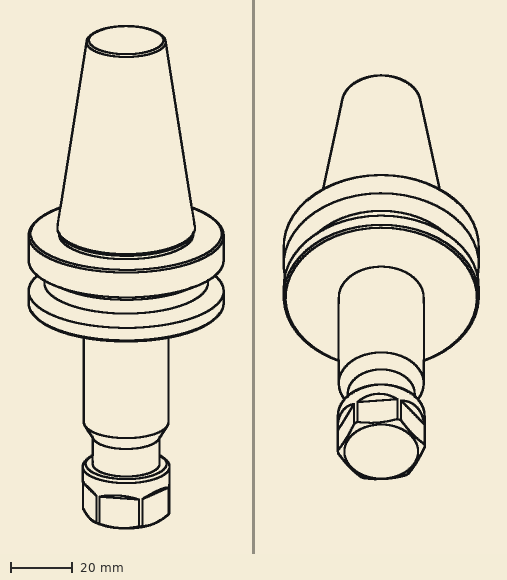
import cadquery as cq
import math

flange_radius = 63.0 / 2
flange_bottom = 73.0
flange_height = 25.0
flange_top = flange_bottom + flange_height
rim_chamfer = 0.7
groove_radius = 53.0 / 2
groove_floor_bottom = flange_bottom + 8.0
groove_floor_height = 4.8
groove_floor_top = groove_floor_bottom + groove_floor_height
groove_wall_angle = math.radians(30)
groove_wall_height = (flange_radius - groove_radius) * math.tan(groove_wall_angle)

overall_height = 165.4
taper_bottom = flange_top + 2.0
taper_large_radius = 44.5 / 2
taper_rate = 7 / 24
taper_small_radius = taper_large_radius - (overall_height - taper_bottom) * taper_rate / 2
taper_end_chamfer = 0.7
relief_radius = taper_large_radius - 0.5
relief_top = taper_bottom - 0.8

shank_radius = 27.5 / 2
shank_bottom = 32.3
neck_radius = 21.7 / 2
neck_top = 27.3

nut_radius = 28.1 / 2
nut_height = 17.7
nut_top_chamfer = 1.0
nut_bottom_radius = 11.9
nut_bottom_chamfer_height = 1.3
flat_distance = 25.0 / 2
flat_top = 10.8
flat_count = 6


def make_turned_body():
    """Revolve the half profile of nut, neck, shank, flange and taper."""
    profile = [
        (0, 0),
        (nut_bottom_radius, 0),
        (nut_radius, nut_bottom_chamfer_height),
        (nut_radius, nut_height - nut_top_chamfer),
        (nut_radius - nut_top_chamfer, nut_height),
        (neck_radius, nut_height),
        (neck_radius, neck_top),
        (shank_radius, shank_bottom),
        (shank_radius, flange_bottom),
        (flange_radius - rim_chamfer, flange_bottom),
        (flange_radius, flange_bottom + rim_chamfer),
        (flange_radius, groove_floor_bottom - groove_wall_height),
        (groove_radius, groove_floor_bottom),
        (groove_radius, groove_floor_top),
        (flange_radius, groove_floor_top + groove_wall_height),
        (flange_radius, flange_top - rim_chamfer),
        (flange_radius - rim_chamfer, flange_top),
        (relief_radius, flange_top),
        (relief_radius, relief_top),
        (taper_large_radius, taper_bottom),
        (taper_small_radius + taper_end_chamfer * taper_rate / 2, overall_height - taper_end_chamfer),
        (taper_small_radius - taper_end_chamfer, overall_height),
        (0, overall_height),
    ]
    return cq.Workplane("XZ").polyline(profile).close().revolve(360, (0, 0), (0, 1))


def make_flat_cutter():
    """Prism that mills the nut flat facing +Y, with a 45 degree run-out at its top."""
    cut_depth = nut_radius
    outer = flat_distance + cut_depth
    below_nut = -1.7
    section = [
        (flat_distance, below_nut),
        (outer, below_nut),
        (outer, flat_top + cut_depth),
        (flat_distance, flat_top),
    ]
    return cq.Workplane("YZ").polyline(section).close().extrude(nut_radius, both=True)


result = make_turned_body()
flat_cutter = make_flat_cutter()
for index in range(flat_count):
    turn = index * 360 / flat_count
    result = result.cut(flat_cutter.rotate((0, 0, 0), (0, 0, 1), turn))